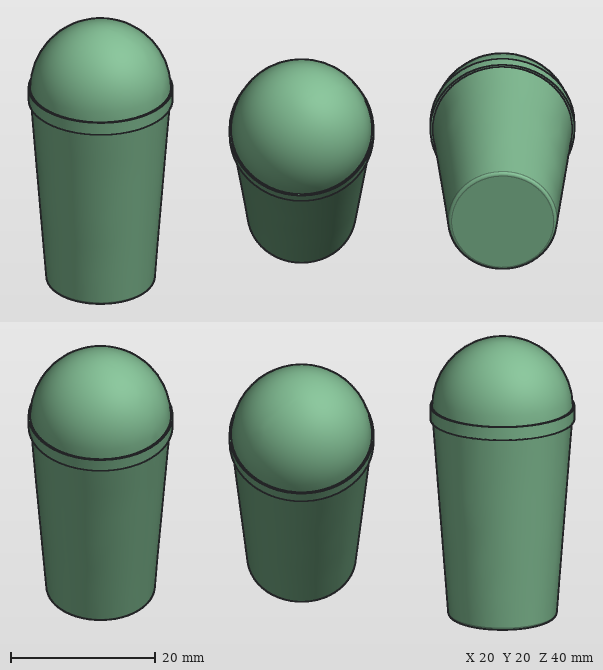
import cadquery as cq

total_height = 40.0
collar_diameter = 20.0

dome_radius = 9.75

collar_height = 1.9
collar_top = 30.3
collar_bottom = collar_top - collar_height

grip_top_radius = 9.7
grip_bottom_radius = 7.5
base_fillet = 0.5


def make_grip():
    """Cone that widens upward from the base to the collar."""
    grip = (
        cq.Workplane("XY")
        .circle(grip_bottom_radius)
        .workplane(offset=collar_bottom)
        .circle(grip_top_radius)
        .loft()
    )
    return grip.faces("<Z").edges().fillet(base_fillet)


def make_collar():
    """Plain disc that stands slightly proud of the cap and the grip."""
    return (
        cq.Workplane("XY")
        .workplane(offset=collar_bottom)
        .circle(collar_diameter / 2)
        .extrude(collar_height)
    )


def make_dome():
    """Upper part of a sphere whose pole sets the total height."""
    sphere_center = total_height - dome_radius
    sphere = cq.Workplane("XY").sphere(dome_radius).translate((0, 0, sphere_center))
    above_collar = (
        cq.Workplane("XY")
        .workplane(offset=collar_bottom)
        .circle(collar_diameter / 2)
        .extrude(total_height - collar_bottom)
    )
    return sphere.intersect(above_collar)


result = make_grip().union(make_collar()).union(make_dome())